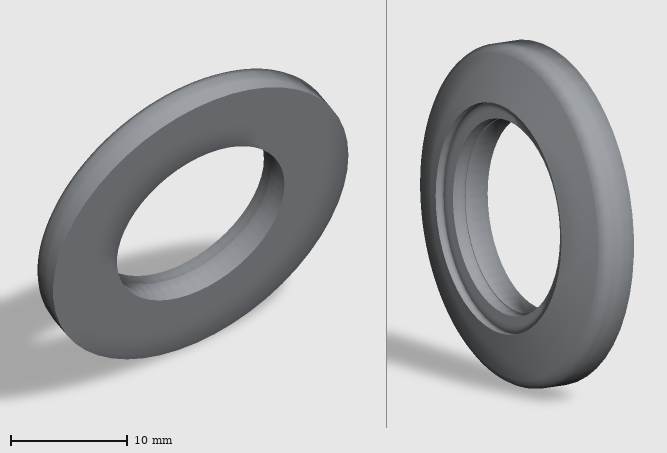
import cadquery as cq
import math

outer_diameter = 30.0
thickness = 4.3
cone_angle = 15.0
rim_fillet = 1.0

recess_diameter = 20.2
recess_depth = 0.8
front_bore_diameter = 17.2
front_bore_end = 2.0
rear_bore_diameter = 17.0

outer_radius = outer_diameter / 2
recess_radius = recess_diameter / 2
front_bore_radius = front_bore_diameter / 2
rear_bore_radius = rear_bore_diameter / 2
cone_height = (outer_radius - recess_radius) * math.tan(math.radians(cone_angle))

section = (
    cq.Workplane("XY")
    .moveTo(0, recess_radius)
    .lineTo(cone_height, outer_radius)
    .lineTo(thickness, outer_radius)
    .lineTo(thickness, rear_bore_radius)
    .lineTo(front_bore_end, rear_bore_radius)
    .lineTo(front_bore_end, front_bore_radius)
    .lineTo(recess_depth, front_bore_radius)
    .lineTo(recess_depth, recess_radius)
    .close()
)
ring = section.revolve(360, (0, 0, 0), (1, 0, 0))

rim_selection_margin = 0.03
rim_edge = cq.selectors.BoxSelector(
    (cone_height - rim_selection_margin, -outer_diameter, -outer_diameter),
    (cone_height + rim_selection_margin, outer_diameter, outer_diameter),
    boundingbox=True,
)
result = ring.edges(rim_edge).fillet(rim_fillet)